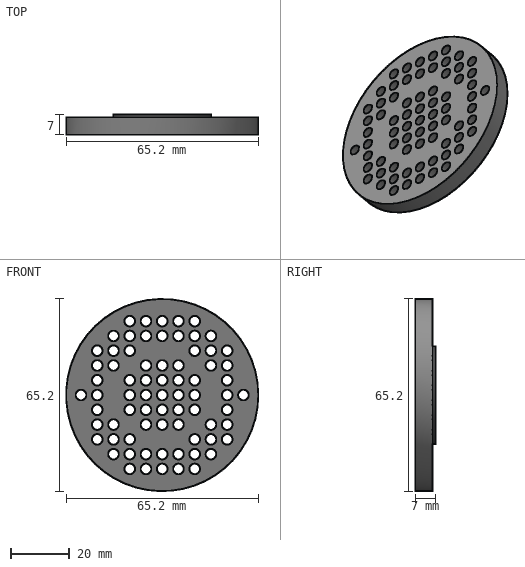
import cadquery as cq

disc_diameter = 65.2
disc_thickness = 6.0
boss_diameter = 33.25
boss_height = 1.0

hole_diameter = 3.5
grid_half_width = 27.5
grid_half_height = 25.05
steps_from_centre = 5
column_pitch = grid_half_width / steps_from_centre
row_pitch = grid_half_height / steps_from_centre

drilled_columns = {
    0: [0, 1, 2, 4, 5],
    1: [0, 1, 2, 4],
    2: [0, 1, 3, 4],
    3: [2, 3, 4],
    4: [0, 1, 2, 3],
    5: [0, 1, 2],
}


def mirrored(step):
    """Signed grid steps for a distance from the centre line, which counts once."""
    return [0] if step == 0 else [-step, step]


def hole_centres():
    """Centres of all grid holes as (x, z) points."""
    return [
        (column * column_pitch, row * row_pitch)
        for row_step, column_steps in drilled_columns.items()
        for row in mirrored(row_step)
        for column_step in column_steps
        for column in mirrored(column_step)
    ]


def cylinder_along_y(diameter, length):
    """Cylinder on the disc axis, reaching from the front face at Y = 0 towards +Y."""
    return cq.Workplane("XZ").circle(diameter / 2).extrude(-length)


def grid_holes(length):
    """Pins that cut every grid hole through the given length."""
    return cq.Workplane("XZ").pushPoints(hole_centres()).circle(hole_diameter / 2).extrude(-length)


total_thickness = disc_thickness + boss_height
disc = cylinder_along_y(disc_diameter, disc_thickness)
boss = cylinder_along_y(boss_diameter, total_thickness)

result = disc.union(boss).cut(grid_holes(total_thickness))